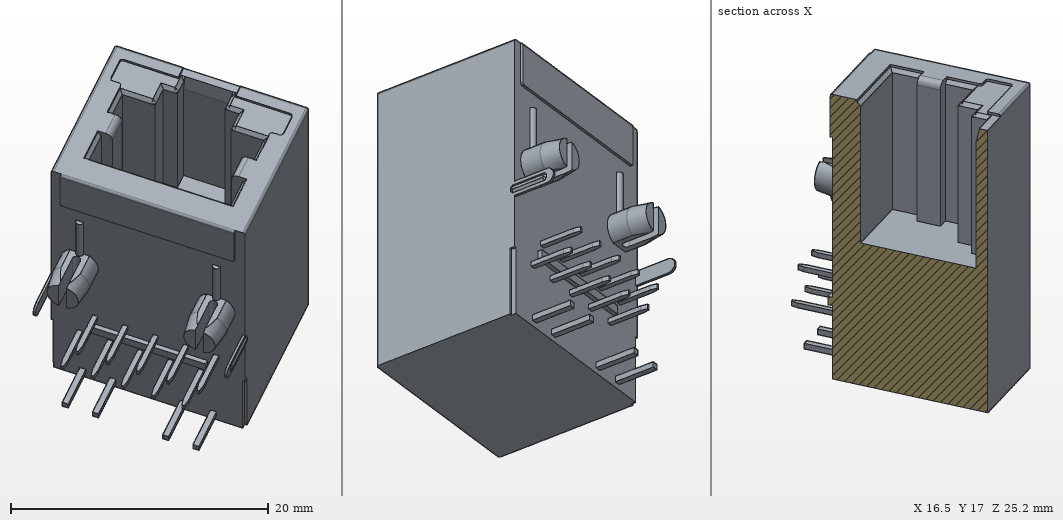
import cadquery as cq
import math


height = 25.25
body_width = 16.25
body_depth = 13.25
sheet = 0.2

cavity_floor = 12.62
lead_in = 0.3
latch_lead_in_height = 1.24

half_width = body_width / 2
housing_top = height - sheet

opening_half_width = 6.24
opening_front = 2.12
opening_shoulder = 9.6
step_half_width = 3.48
step_back = 11.25
latch_half_width = 2.3
latch_back = 12.55

window_half_width = 7.22
window_front = 9.9
window_back = 12.15
window_corner = 0.25
shield_slot_half_width = 2.4

finger_tip = 5.0
finger_bend = 0.58
finger_front = 4.95
finger_back = 6.95

flap_half_width = 7.3
flap_bottom = 21.4

corner_notch_height = 6.05
corner_notch_depth = 0.4

peg_x = 5.73
peg_z = 14.5
peg_radius = 1.57
peg_tip_radius = 1.31
peg_straight = 1.87
peg_length = 3.54
peg_half_height = 1.35
slot_radius = 0.33
slot_floor = 0.38
rail_top = 19.92
rail_height = 0.33

tab_length = 3.74
tab_width = 1.31
tab_end_radius = 0.63
tab_z = 11.45
tab_root = 0.38
rib_back = 0.38
rib_front = -3.08
rib_width = 0.7
rib_height = 0.14
rib_corner = 0.2
rib_slope = 0.23

contacts_per_row = 5
contact_row_length = 10.15
pin_pitch = contact_row_length / (contacts_per_row - 1)
contact_size = 0.43
contact_length = 3.74
contact_taper_length = 0.6
contact_tip_width = 0.2
contact_offset = pin_pitch / 4
upper_row_z = 8.15
lower_row_z = 5.6
light_pin_size = 0.5
light_pin_length = 3.64
light_pin_z = 0.75
light_pin_outer_x = 5.48
light_pin_inner_x = light_pin_outer_x - pin_pitch

bar_half_width = 4.97
bar_bottom = 6.5
bar_top = 7.27
bar_height = 0.38

embed = 0.25


def block(x_min, x_max, y_min, y_max, z_min, z_max):
    """Axis-aligned box given by its limits."""
    return (
        cq.Workplane("XY")
        .box(x_max - x_min, y_max - y_min, z_max - z_min, centered=False)
        .translate((x_min, y_min, z_min))
    )


def both_sides(shape):
    """Shape joined with its mirror image across x = 0."""
    return shape.union(shape.mirror("YZ"))


def mirrored_outline(right_half, z):
    """Closed symmetric outline at height z from its +X half."""
    left_half = [(-x, y) for x, y in reversed(right_half)]
    return cq.Workplane("XY").workplane(offset=z).polyline(right_half + left_half).close()


def opening_half(inset):
    """+X half of the stepped plug opening, drawn inward by the inset."""
    return [
        (opening_half_width - inset, opening_front + inset),
        (opening_half_width - inset, opening_shoulder - inset),
        (step_half_width - inset, opening_shoulder - inset),
        (step_half_width - inset, step_back - inset),
        (latch_half_width - inset, step_back - inset),
        (latch_half_width - inset, latch_back - inset),
    ]


def make_body():
    """Outer block with bends at the side and back top edges and the back corners."""
    body = block(-half_width, half_width, 0, body_depth, 0, height)
    return body.edges("(>Z and (not <Y)) or (|Z and >Y)").fillet(sheet)


def make_shield_window():
    """Shallow recess exposing the housing, open to the back above the latch."""
    outline = [
        (opening_half_width, opening_front),
        (opening_half_width, window_front),
        (window_half_width, window_front),
        (window_half_width, window_back),
        (shield_slot_half_width, window_back),
        (shield_slot_half_width, body_depth + embed),
    ]
    window = mirrored_outline(outline, housing_top).extrude(sheet)
    right_corners = cq.selectors.BoxSelector(
        (opening_half_width - embed, window_front - embed, 0),
        (window_half_width + embed, window_back + embed, height + embed),
    )
    left_corners = cq.selectors.BoxSelector(
        (-window_half_width - embed, window_front - embed, 0),
        (-opening_half_width + embed, window_back + embed, height + embed),
    )
    return window.edges("|Z").edges(right_corners + left_corners).fillet(window_corner)


def make_cavity():
    """Plug opening with its chamfered mouth and steep latch lead-in."""
    shaft = mirrored_outline(opening_half(lead_in), cavity_floor).extrude(housing_top - cavity_floor)
    mouth = mirrored_outline(opening_half(0), housing_top).extrude(-lead_in, taper=45)
    latch_inner_half_width = latch_half_width - lead_in
    latch_wall = latch_back - lead_in
    latch_slope = (
        cq.Workplane("YZ")
        .polyline([
            (latch_wall, housing_top),
            (latch_back, housing_top),
            (latch_wall, housing_top - latch_lead_in_height),
        ])
        .close()
        .extrude(latch_inner_half_width, both=True)
    )
    return shaft.union(mouth).union(latch_slope)


def make_finger():
    """+X spring finger: a flat strip bent down into the opening."""
    strip = block(finger_tip, opening_half_width + embed, finger_front, finger_back, housing_top, height)
    leg = block(finger_tip, opening_half_width, finger_front, finger_back, cavity_floor - embed, height)
    return strip.union(leg).edges("|Y and >Z and <X").fillet(finger_bend)


def make_flap():
    """Folded shield flap with a bent top edge and rounded lower corners."""
    flap = block(-flap_half_width, flap_half_width, -sheet, embed, flap_bottom, height)
    flap = flap.edges("|Y and <Z").fillet(sheet)
    return flap.edges("<Y and >Z").fillet(sheet)


def make_corner_notch():
    """+X recess where the side sheet ends short of the lower board edge."""
    return block(half_width - sheet, half_width, 0, corner_notch_depth, 0, corner_notch_height)


def make_peg():
    """+X board peg: flattened, tapered at the tip and split by a round-bottomed slot."""
    profile = [
        (0, embed),
        (peg_radius, embed),
        (peg_radius, -peg_straight),
        (peg_tip_radius, -peg_length),
        (0, -peg_length),
    ]
    peg = cq.Workplane("XY").polyline(profile).close().revolve(360, (0, 0), (0, 1))
    flats = block(-peg_radius, peg_radius, -peg_length, embed, -peg_half_height, peg_half_height)
    slot_axis = -slot_floor - slot_radius
    slot = block(-slot_radius, slot_radius, -peg_length, slot_axis, -peg_radius, peg_radius)
    slot_end = (
        cq.Workplane("XY")
        .center(0, slot_axis)
        .circle(slot_radius)
        .extrude(peg_radius, both=True)
    )
    return peg.intersect(flats).cut(slot).cut(slot_end).translate((peg_x, 0, peg_z))


def make_rail():
    """+X half-round rail running up from the peg."""
    return (
        cq.Workplane("XY")
        .workplane(offset=peg_z)
        .center(peg_x, slot_radius - rail_height)
        .circle(slot_radius)
        .extrude(rail_top - peg_z)
    )


def make_ground_tab():
    """+X round-ended tab with an embossed rib on its outer face."""
    tab = block(
        half_width - sheet, half_width, -tab_length, tab_root,
        tab_z - tab_width / 2, tab_z + tab_width / 2,
    )
    tab = tab.edges("|X and <Y").fillet(tab_end_radius)
    rib_length = rib_back - rib_front
    rib_taper = math.degrees(math.atan(rib_slope / rib_height))
    rib_base = (
        cq.Sketch()
        .rect(rib_length, rib_width)
        .vertices()
        .chamfer(rib_corner)
    )
    rib = (
        cq.Workplane("YZ")
        .placeSketch(rib_base)
        .extrude(rib_height, taper=rib_taper)
        .translate((half_width, (rib_back + rib_front) / 2, tab_z))
    )
    return tab.union(rib)


def make_contact(x, z):
    """Square contact pin whose sides taper at the tip."""
    half = contact_size / 2
    tip_half = contact_tip_width / 2
    taper_start = contact_taper_length - contact_length
    outline = [
        (-half, embed),
        (half, embed),
        (half, taper_start),
        (tip_half, -contact_length),
        (-tip_half, -contact_length),
        (-half, taper_start),
    ]
    return cq.Workplane("XY").polyline(outline).close().extrude(half, both=True).translate((x, 0, z))


def make_light_pin(x):
    """Plain square pin of an indicator light."""
    half = light_pin_size / 2
    return block(x - half, x + half, -light_pin_length, embed, light_pin_z - half, light_pin_z + half)


result = make_body().cut(make_shield_window()).cut(make_cavity())
result = result.union(both_sides(make_finger()))
result = result.cut(both_sides(make_corner_notch()))

result = result.union(make_flap())
result = result.union(both_sides(make_peg()))
result = result.union(both_sides(make_rail()))
result = result.union(both_sides(make_ground_tab()))
result = result.union(block(-bar_half_width, bar_half_width, -bar_height, embed, bar_bottom, bar_top))

for index in range(contacts_per_row):
    row_x = index * pin_pitch - contact_row_length / 2
    result = result.union(make_contact(row_x + contact_offset, upper_row_z))
    result = result.union(make_contact(row_x - contact_offset, lower_row_z))

for light_pin_x in (light_pin_inner_x, light_pin_outer_x):
    result = result.union(both_sides(make_light_pin(light_pin_x)))